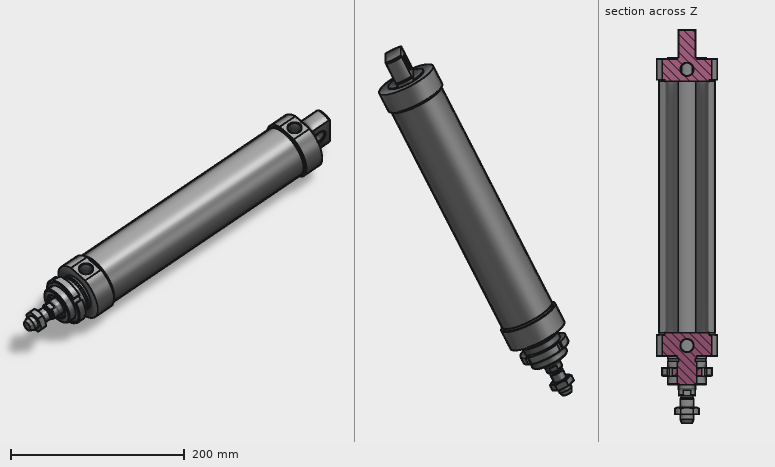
import cadquery as cq
import math


cap_diameter = 70.0
port_flat_height = 32.5
front_cap_length = 24.5
front_lip_length = 2.5
rear_cap_length = 24.0
rear_lip_length = 2.0
tube_diameter = 65.0
tube_bore = 63.0
lip_diameter = 64.5
tube_length = 289.5

port_diameter = 15.0
port_mouth_diameter = 17.0

spigot_diameter = 45.0
groove_diameter = 43.5
nose_length = 33.0
nose_chamfer = 1.5
nose_groove_start = 3.0
nose_groove_width = 2.5
seal_recess_diameter = 30.0
seal_recess_depth = 3.5
seal_recess_chamfer = 1.0
rear_groove_start = 4.0
rear_groove_width = 2.0
eye_length = 33.5
eye_thickness = 20.0
eye_flat_start = 1.5
eye_end_chamfer_depth = 1.5
eye_end_chamfer_length = 2.0
eye_hole_diameter = 16.0
eye_hole_chamfer = 1.5
eye_hole_from_end = 16.0

rod_diameter = 20.0
rod_front_diameter = 19.5
rod_chamfer_depth = 0.5
rod_chamfer_length = 1.5
rod_taper_start = 37.2
rod_taper_end = 38.5
rod_shoulder = 46.0
wrench_flat_start = 39.5
wrench_flat_width = 17.3
neck_diameter = 13.5
neck_end = 47.5
thread_diameter = 16.0
thread_start = 49.5
thread_end = 72.5
rod_tip = 77.5
rod_tip_diameter = 12.0
tail_diameter = 12.0
tail_overlap = 22.0

ring_nut_diameter = 58.0
ring_nut_front = 23.0
ring_nut_rear = 13.5
ring_nut_chamfer_depth = 2.0
ring_nut_chamfer_length = 1.0
slot_count = 4
slot_width = 6.0
slot_floor_radius = 26.0

hex_nut_across_flats = 24.0
hex_nut_rear = 59.0
hex_nut_front = 67.0
hex_nut_face_diameter = 22.5
hex_nut_chamfer_angle = 30
hex_sides = 6

tube_start = front_cap_length + front_lip_length
tube_end = tube_start + tube_length
rear_cap_start = tube_end + rear_lip_length
rear_cap_end = rear_cap_start + rear_cap_length
rear_end = rear_cap_end + eye_length


def turned(profile):
    """Solid of revolution about Y from (y, diameter) points; it closes along the axis."""
    first_y = profile[0][0]
    last_y = profile[-1][0]
    outline = [(0, first_y)] + [(d / 2, y) for y, d in profile] + [(0, last_y)]
    return cq.Workplane("XY").polyline(outline).close().revolve(360, (0, 0), (0, 1))


def cylinder(diameter, start, end):
    """Plain cylinder on the Y axis between two stations."""
    return turned([(start, diameter), (end, diameter)])


def block(x_range, y_range, z_range):
    """Rectangular block given by its (low, high) limits on each axis."""
    size = [high - low for low, high in (x_range, y_range, z_range)]
    corner = cq.Vector(x_range[0], y_range[0], z_range[0])
    return cq.Workplane("XY").box(*size, centered=False).translate(corner)


def cut_port(cap, start, end):
    """Mill the flat on top of a cap and drill its chamfered port down to the axis."""
    reach = cap_diameter
    above_flat = block((-reach, reach), (start, end), (port_flat_height, reach))
    mouth_depth = (port_mouth_diameter - port_diameter) / 2
    drill_profile = [
        (0, 0),
        (port_diameter / 2, 0),
        (port_diameter / 2, port_flat_height - mouth_depth),
        (port_mouth_diameter / 2, port_flat_height),
        (0, port_flat_height),
    ]
    drill = cq.Workplane("XZ").polyline(drill_profile).close().revolve(360, (0, 0), (0, 1))
    return cap.cut(above_flat).cut(drill.translate((0, (start + end) / 2, 0)))


def make_rod():
    shaft = turned([
        (-rod_tip, rod_tip_diameter),
        (-thread_end, thread_diameter),
        (-thread_start, thread_diameter),
        (-neck_end, neck_diameter),
        (-rod_shoulder, neck_diameter),
        (-rod_shoulder, rod_front_diameter - 2 * rod_chamfer_depth),
        (-rod_shoulder + rod_chamfer_length, rod_front_diameter),
        (-rod_taper_end, rod_front_diameter),
        (-rod_taper_start, rod_diameter),
        (tube_end, rod_diameter),
        (tube_end, tail_diameter),
        (rear_cap_start + tail_overlap, tail_diameter),
    ])
    for low, high in [
        (wrench_flat_width / 2, rod_diameter),
        (-rod_diameter, -wrench_flat_width / 2),
    ]:
        flat = block((-rod_diameter, rod_diameter), (-rod_shoulder, -wrench_flat_start), (low, high))
        shaft = shaft.cut(flat)
    return shaft


def make_front_cap():
    cap = cylinder(cap_diameter, 0, front_cap_length)
    cap = cut_port(cap, 0, front_cap_length)
    lip = cylinder(lip_diameter, front_cap_length, tube_start)
    nose = turned([
        (-nose_length, spigot_diameter - 2 * nose_chamfer),
        (-nose_length + nose_chamfer, spigot_diameter),
        (-nose_groove_start - nose_groove_width, spigot_diameter),
        (-nose_groove_start - nose_groove_width, groove_diameter),
        (-nose_groove_start, groove_diameter),
        (-nose_groove_start, spigot_diameter),
        (0, spigot_diameter),
    ])
    seal_recess = turned([
        (-nose_length, seal_recess_diameter + 2 * seal_recess_chamfer),
        (-nose_length + seal_recess_chamfer, seal_recess_diameter),
        (-nose_length + seal_recess_depth, seal_recess_diameter),
    ])
    return cap.union(lip).union(nose).cut(seal_recess).cut(make_rod())


def make_tube():
    return cylinder(tube_diameter, tube_start, tube_end).cut(cylinder(tube_bore, tube_start, tube_end))


def make_eye():
    spigot = turned([
        (rear_cap_end, spigot_diameter),
        (rear_cap_end + rear_groove_start, spigot_diameter),
        (rear_cap_end + rear_groove_start, groove_diameter),
        (rear_cap_end + rear_groove_start + rear_groove_width, groove_diameter),
        (rear_cap_end + rear_groove_start + rear_groove_width, spigot_diameter),
        (rear_end - eye_end_chamfer_length, spigot_diameter),
        (rear_end, spigot_diameter - 2 * eye_end_chamfer_depth),
    ])
    flats_y = (rear_cap_end + eye_flat_start, rear_end)
    z_range = (-spigot_diameter, spigot_diameter)
    for x_range in [
        (eye_thickness / 2, spigot_diameter),
        (-spigot_diameter, -eye_thickness / 2),
    ]:
        spigot = spigot.cut(block(x_range, flats_y, z_range))
    half = eye_thickness / 2
    hole_radius = eye_hole_diameter / 2
    mouth_radius = hole_radius + eye_hole_chamfer
    hole_profile = [
        (-half, 0),
        (-half, mouth_radius),
        (-half + eye_hole_chamfer, hole_radius),
        (half - eye_hole_chamfer, hole_radius),
        (half, mouth_radius),
        (half, 0),
    ]
    hole = cq.Workplane("XY").polyline(hole_profile).close().revolve(360, (0, 0), (1, 0))
    return spigot.cut(hole.translate((0, rear_end - eye_hole_from_end, 0)))


def make_rear_cap():
    cap = cylinder(cap_diameter, rear_cap_start, rear_cap_end)
    cap = cut_port(cap, rear_cap_start, rear_cap_end)
    lip = cylinder(lip_diameter, tube_end, rear_cap_start)
    return cap.union(lip).union(make_eye()).cut(make_rod())


def make_ring_nut():
    nut = turned([
        (-ring_nut_front, ring_nut_diameter - 2 * ring_nut_chamfer_depth),
        (-ring_nut_front + ring_nut_chamfer_length, ring_nut_diameter),
        (-ring_nut_rear, ring_nut_diameter),
    ])
    nut = nut.cut(cylinder(spigot_diameter, -ring_nut_front, -ring_nut_rear))
    slot = block(
        (-slot_width / 2, slot_width / 2),
        (-ring_nut_front, -ring_nut_rear),
        (slot_floor_radius, ring_nut_diameter),
    )
    pitch = 360 / slot_count
    first_slot = pitch / 2
    for i in range(slot_count):
        nut = nut.cut(slot.rotate((0, 0, 0), (0, 1, 0), first_slot + i * pitch))
    return nut


def make_hex_nut():
    across_corners = hex_nut_across_flats / math.cos(math.pi / hex_sides)
    length = hex_nut_front - hex_nut_rear
    seat = cq.Workplane("XZ", origin=(0, -hex_nut_rear, 0))
    prism = seat.polygon(hex_sides, across_corners).extrude(length)
    slope = math.tan(math.radians(hex_nut_chamfer_angle))
    chamfer = (across_corners - hex_nut_face_diameter) / 2 * slope
    envelope = turned([
        (-hex_nut_front, across_corners),
        (-hex_nut_rear - chamfer, across_corners),
        (-hex_nut_rear, hex_nut_face_diameter),
    ])
    return prism.intersect(envelope).cut(cylinder(thread_diameter, -hex_nut_front, -hex_nut_rear))


rod = make_rod()
front_cap = make_front_cap()
tube = make_tube()
rear_cap = make_rear_cap()
ring_nut = make_ring_nut()
hex_nut = make_hex_nut()

result = cq.Compound.makeCompound([
    rod.val(),
    front_cap.val(),
    tube.val(),
    rear_cap.val(),
    ring_nut.val(),
    hex_nut.val(),
])